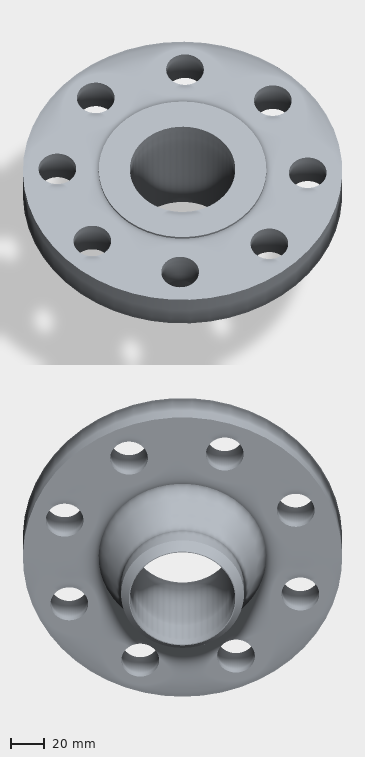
import cadquery as cq

flange_diameter = 190.5
flange_thickness = 23.8
face_diameter = 100.0
face_height = 1.5

total_height = 76.2
hub_base_diameter = 100.0
neck_diameter = 73.3
bevel_height = 5.3
neck_height = 12.0
bevel_end_diameter = 64.0
bore_diameter = 62.9

bolt_count = 8
bolt_hole_diameter = 22.5
bolt_circle_diameter = 149.4
first_bolt_angle = 180.0 / bolt_count

neck_bottom = bevel_height
neck_top = neck_bottom + neck_height
flange_top = total_height - face_height
flange_bottom = flange_top - flange_thickness


def make_body():
    """Revolve half of the cross section, bore included, around Z."""
    bore_radius = bore_diameter / 2
    section = [
        (bore_radius, 0),
        (bevel_end_diameter / 2, 0),
        (neck_diameter / 2, neck_bottom),
        (neck_diameter / 2, neck_top),
        (hub_base_diameter / 2, flange_bottom),
        (flange_diameter / 2, flange_bottom),
        (flange_diameter / 2, flange_top),
        (face_diameter / 2, flange_top),
        (face_diameter / 2, total_height),
        (bore_radius, total_height),
    ]
    profile = cq.Workplane("XZ").polyline(section).close()
    return profile.revolve(360, (0, 0, 0), (0, 1, 0))


def make_bolt_holes():
    """Cylinders on the bolt circle, passing through the flange plate."""
    return (
        cq.Workplane("XY")
        .workplane(offset=flange_bottom)
        .polarArray(bolt_circle_diameter / 2, first_bolt_angle, 360, bolt_count)
        .circle(bolt_hole_diameter / 2)
        .extrude(flange_thickness)
    )


result = make_body().cut(make_bolt_holes())